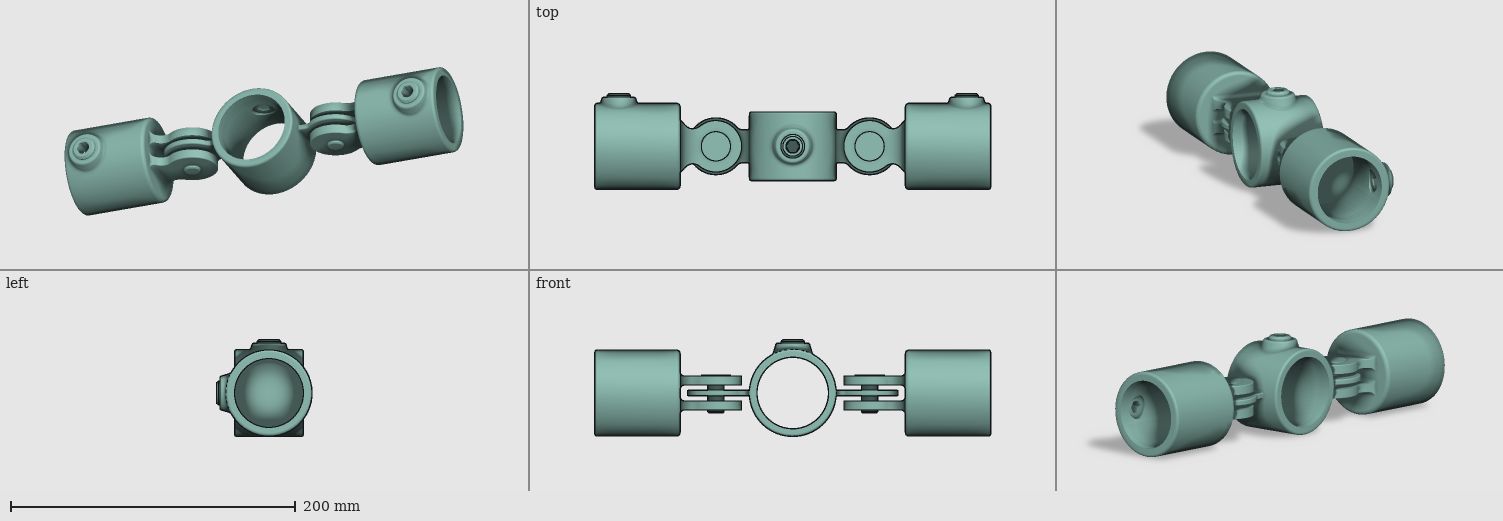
import cadquery as cq
import math

overall_length = 278.0
hinge_x = 54.0

socket_radius = 30.3
socket_length = 60.0
socket_bore_radius = 24.2
socket_base_wall = 5.5
socket_mouth_fillet = 2.0
socket_base_fillet = 2.8
socket_mouth_x = overall_length / 2
socket_base_x = socket_mouth_x - socket_length
socket_screw_x = socket_mouth_x - 17.0
socket_screw_top = 37.0

ring_radius = 30.5
ring_bore_radius = 25.0
ring_length = 48.5
ring_fillet = 1.7
ring_screw_top = 37.5

lug_radius = 18.0
lug_inner_z = 5.5
lug_outer_z = 12.0
lug_neck_radius = 7.2
lug_flare_length = 4.0
lug_root_fillet = 3.0
lug_edge_fillet = 0.5

tongue_radius = 20.0
tongue_half_thickness = 2.0
tongue_neck_radius = 5.0
tongue_neck_half_width = 11.7
tongue_edge_fillet = 0.8
tongue_root_fillet = 1.0

pin_radius = 5.8
pin_head_radius = 10.3
pin_head_height = 0.8
pin_tip_length = 2.0
pin_tip_chamfer = 0.8

boss_top_radius = 11.7
boss_slope = 0.3
boss_root_depth = 2.8
boss_top_fillet = 1.7
boss_base_fillet = 1.7
screw_exposure = 2.5
screw_radius = 8.3
screw_chamfer = 1.5
screw_tip_gap = 1.0
screw_hex_flats = 8.3
screw_hex_chamfer = 0.8

selection_margin = 0.3


def pointing_to_y(shape):
    """Turn a shape that points along +Z so that it points along +Y."""
    return shape.rotate((0, 0, 0), (1, 0, 0), -90)



def boss(bore_radius, screw_top):
    """Tapered boss along +Z, rising from inside a tube centred on the origin."""
    top_z = screw_top - screw_exposure
    bottom_z = bore_radius - boss_root_depth
    height = top_z - bottom_z
    bottom_radius = boss_top_radius + boss_slope * height
    cone = cq.Workplane(
        cq.Solid.makeCone(bottom_radius, boss_top_radius, height, pnt=cq.Vector(0, 0, bottom_z))
    )
    return cone.faces(">Z").edges().fillet(boss_top_fillet).rotate((0, 0, 0), (0, 0, 1), 45)


def join_boss(tube, tube_radius, bore_radius, screw_top):
    """Join a boss along +Z to a solid tube centred on the origin and round the corner between them."""
    joined = tube.union(boss(bore_radius, screw_top))
    reach = 2 * boss_top_radius
    corner_box = cq.selectors.BoxSelector(
        (-reach, -reach, tube_radius / 2),
        (reach, reach, tube_radius + selection_margin),
        boundingbox=True,
    )
    return joined.edges(corner_box).fillet(boss_base_fillet)


def screw_hole(screw_top):
    return cq.Workplane("XY").circle(screw_radius).extrude(screw_top)


def set_screw(bore_radius, screw_top):
    """Screw along +Z with a hexagon key hole right through it."""
    bottom_z = bore_radius + screw_tip_gap
    hex_corners = screw_hex_flats / math.cos(math.pi / 6)
    key_hole_mouth = cq.Solid.makeCone(
        hex_corners / 2 - screw_hex_chamfer,
        hex_corners / 2,
        screw_hex_chamfer,
        pnt=cq.Vector(0, 0, screw_top - screw_hex_chamfer),
    )
    return (
        cq.Workplane("XY")
        .workplane(offset=bottom_z)
        .circle(screw_radius)
        .extrude(screw_top - bottom_z)
        .faces(">Z").edges().chamfer(screw_chamfer)
        .faces(">Z").workplane()
        .polygon(6, hex_corners)
        .cutThruAll()
        .cut(cq.Workplane(key_hole_mouth))
    )



def mirrored(point):
    """The point on the other side of the X axis."""
    return point[0], -point[1]


def concave_arc(arc_radius, centre, end_angle):
    """Start, middle and end of an arc that leaves a round eye on the origin tangentially."""
    start_angle = math.atan2(-centre[1], -centre[0])
    angles = (start_angle, (start_angle + end_angle) / 2, end_angle)
    return [
        (centre[0] + arc_radius * math.cos(a), centre[1] + arc_radius * math.sin(a)) for a in angles
    ]


def eye_plate(eye_radius, neck_arc, neck_end, half_height):
    """Plate with a round eye on the origin and a neck along +X.

    neck_arc lists the start, middle and end of the concave arc on the +Y side of the neck,
    and neck_end is the corner where a straight line from that arc ends.
    """
    start, middle, end = neck_arc
    return (
        cq.Workplane("XY")
        .workplane(offset=-half_height)
        .moveTo(*start)
        .threePointArc(middle, end)
        .lineTo(*neck_end)
        .lineTo(*mirrored(neck_end))
        .lineTo(*mirrored(end))
        .threePointArc(mirrored(middle), mirrored(start))
        .threePointArc((-eye_radius, 0), start)
        .close()
        .extrude(2 * half_height)
    )


def pin_hole():
    """Hole for a pin on the Z axis, right through the lugs or the tongue."""
    return cq.Workplane("XY").circle(pin_radius).extrude(2 * lug_outer_z, both=True)



def flared_layer(start_x, root_x, end_x):
    """Slab as thick as a lug whose top and bottom curve outwards into the socket at root_x."""
    bend_x = root_x - lug_root_fillet
    bottom_root_z = lug_inner_z - lug_root_fillet
    top_root_z = lug_outer_z + lug_root_fillet
    return (
        cq.Workplane("XZ")
        .moveTo(start_x, lug_inner_z)
        .lineTo(bend_x, lug_inner_z)
        .radiusArc((root_x, bottom_root_z), lug_root_fillet)
        .lineTo(end_x, bottom_root_z)
        .lineTo(end_x, top_root_z)
        .lineTo(root_x, top_root_z)
        .radiusArc((bend_x, lug_outer_z), lug_root_fillet)
        .lineTo(start_x, lug_outer_z)
        .close()
        .extrude(2 * lug_radius, both=True)
    )


def fork():
    """Two lugs around the origin, reaching along +X into the closed end of a socket."""
    root_x = socket_base_x - hinge_x
    end_x = root_x + socket_base_wall / 2
    flare_angle = math.pi / 4
    centre_x = root_x - lug_flare_length - lug_neck_radius * math.sin(flare_angle)
    centre_y = math.sqrt((lug_radius + lug_neck_radius) ** 2 - centre_x**2)
    neck_arc = concave_arc(lug_neck_radius, (centre_x, centre_y), -flare_angle)
    flare_x, flare_y = neck_arc[-1]
    neck_end = (end_x, flare_y + end_x - flare_x)
    outline = eye_plate(lug_radius, neck_arc, neck_end, 2 * lug_outer_z)
    upper_layer = flared_layer(-lug_radius, root_x, end_x)
    lugs = outline.intersect(upper_layer.union(upper_layer.mirror("XY")))
    for outer_z in (-lug_outer_z, lug_outer_z):
        eye_tip = cq.selectors.NearestToPointSelector((-lug_radius, 0, outer_z))
        lugs = lugs.edges(eye_tip).fillet(lug_edge_fillet)
    return lugs.cut(pin_hole())


def socket():
    """Socket on the +X side, with its fork and with its screw boss towards +Y."""
    barrel = (
        cq.Workplane("YZ")
        .workplane(offset=socket_base_x - socket_screw_x)
        .circle(socket_radius)
        .extrude(socket_length)
        .faces(">X").edges().fillet(socket_mouth_fillet)
        .faces("<X").edges().fillet(socket_base_fillet)
    )
    barrel = join_boss(barrel, socket_radius, socket_bore_radius, socket_screw_top)
    barrel = barrel.cut(screw_hole(socket_screw_top))
    barrel = pointing_to_y(barrel).translate((socket_screw_x, 0, 0))
    bore = (
        cq.Workplane("YZ")
        .workplane(offset=socket_base_x + socket_base_wall)
        .circle(socket_bore_radius)
        .extrude(socket_length)
    )
    return barrel.union(fork().translate((hinge_x, 0, 0))).cut(bore)



def tongue():
    """Tongue around the origin, reaching along +X into the wall of the ring."""
    end_x = hinge_x - (ring_radius + ring_bore_radius) / 2
    centre_y = tongue_neck_half_width + tongue_neck_radius
    centre_x = math.sqrt((tongue_radius + tongue_neck_radius) ** 2 - centre_y**2)
    neck_arc = concave_arc(tongue_neck_radius, (centre_x, centre_y), -math.pi / 2)
    neck_end = (end_x, tongue_neck_half_width)
    plate = eye_plate(tongue_radius, neck_arc, neck_end, tongue_half_thickness)
    return plate.edges("not |Z").fillet(tongue_edge_fillet).cut(pin_hole())


def ring():
    """Middle ring with a screw boss on top and a tongue on each side."""
    body = (
        cq.Workplane("XZ")
        .circle(ring_radius)
        .extrude(ring_length / 2, both=True)
        .faces("<Y or >Y").edges().fillet(ring_fillet)
    )
    body = join_boss(body, ring_radius, ring_bore_radius, ring_screw_top)
    left_tongue = tongue().translate((-hinge_x, 0, 0))
    body = body.union(left_tongue).union(left_tongue.mirror("YZ"))
    bore = cq.Workplane("XZ").circle(ring_bore_radius).extrude(ring_length, both=True)
    body = body.cut(bore).cut(screw_hole(ring_screw_top))

    root_y = tongue_neck_half_width + selection_margin
    root_z = tongue_half_thickness + selection_margin
    for side in (-1, 1):
        root_box = cq.selectors.BoxSelector(
            (side * ring_bore_radius, -root_y, -root_z),
            (side * (ring_radius + selection_margin), root_y, root_z),
            boundingbox=True,
        )
        body = body.edges(root_box).fillet(tongue_root_fillet)
    return body



def pin():
    """Hinge pin on the Z axis, with a flat head on the upper lug."""
    shank_bottom = -lug_outer_z - pin_tip_length
    shank = (
        cq.Workplane("XY")
        .workplane(offset=shank_bottom)
        .circle(pin_radius)
        .extrude(lug_outer_z - shank_bottom)
        .faces("<Z").edges().chamfer(pin_tip_chamfer)
    )
    head = (
        cq.Workplane("XY")
        .workplane(offset=lug_outer_z)
        .circle(pin_head_radius)
        .extrude(pin_head_height)
    )
    return shank.union(head)



right_socket = socket()
sockets = [right_socket, right_socket.mirror("YZ")]
middle_ring = ring()
pins = [pin().translate((side * hinge_x, 0, 0)) for side in (-1, 1)]
socket_screw = pointing_to_y(set_screw(socket_bore_radius, socket_screw_top))
screws = [socket_screw.translate((side * socket_screw_x, 0, 0)) for side in (-1, 1)]
screws.append(set_screw(ring_bore_radius, ring_screw_top))

result = cq.Compound.makeCompound(
    [body.val() for body in [*sockets, middle_ring, *pins, *screws]]
)